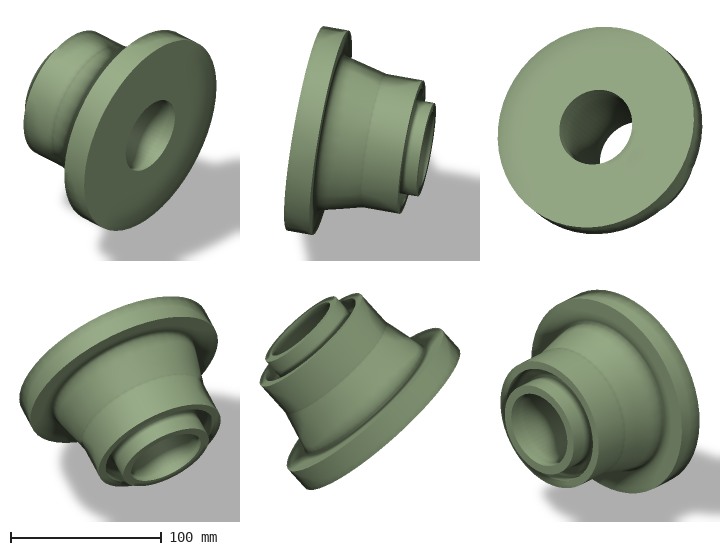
import cadquery as cq

total_length = 82.0
spigot_projection = 10.0
barrel_length = 25.0
flange_thickness = 17.1

flange_diameter = 138.0
taper_end_diameter = 104.9
barrel_diameter = 90.0
groove_outer_diameter = 79.2
spigot_diameter = 63.0
bore_diameter = 51.3

groove_depth = 8.5
groove_fillet = 2.0
flange_fillet = 1.8

barrel_start = spigot_projection
taper_start = barrel_start + barrel_length
flange_start = total_length - flange_thickness
groove_floor = barrel_start + groove_depth


def cylinder(diameter, start, end):
    """Solid cylinder on the X axis between two stations."""
    return cq.Workplane("YZ", origin=(start, 0, 0)).circle(diameter / 2).extrude(end - start)


def make_outer_body():
    """Barrel, taper and flange, with a fillet where the taper meets the flange."""
    profile = [
        (barrel_start, 0),
        (barrel_start, barrel_diameter / 2),
        (taper_start, barrel_diameter / 2),
        (flange_start, taper_end_diameter / 2),
        (flange_start, flange_diameter / 2),
        (total_length, flange_diameter / 2),
        (total_length, 0),
    ]
    body = cq.Workplane("XZ").polyline(profile).close().revolve(360, (0, 0, 0), (1, 0, 0))
    return body.edges(cq.selectors.RadiusNthSelector(1)).fillet(flange_fillet)


def make_groove():
    """Ring cutter around the spigot with both floor corners rounded."""
    ring = cylinder(groove_outer_diameter, barrel_start, groove_floor)
    ring = ring.cut(cylinder(spigot_diameter, barrel_start, groove_floor))
    return ring.faces(">X").edges().fillet(groove_fillet)


spigot = cylinder(spigot_diameter, 0, flange_start)
bore = cylinder(bore_diameter, 0, total_length)

result = make_outer_body().cut(make_groove()).union(spigot).cut(bore)